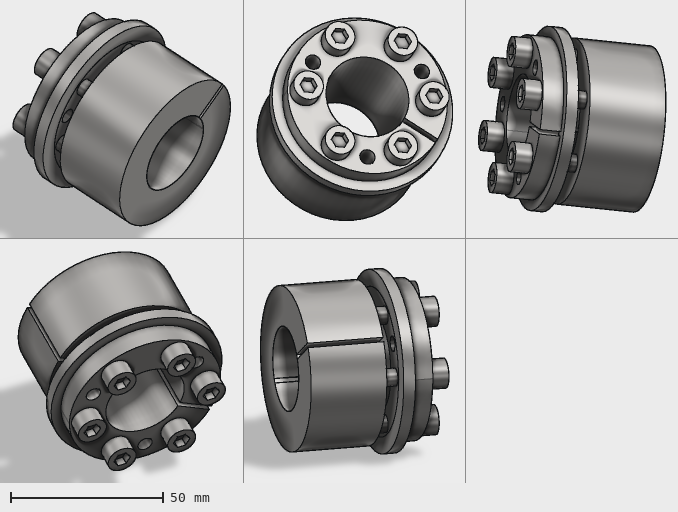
import cadquery as cq
import math


head_length = 5.85
flange_length = 7.15
collar_length = 4.0
ring_gap = 4.9
outer_ring_length = 26.1
collar_start = flange_length
collar_end = collar_start + collar_length
outer_ring_start = collar_end + ring_gap
outer_ring_end = outer_ring_start + outer_ring_length

bore_diameter = 28.0
flange_diameter = 54.0
collar_seat_diameter = 49.8
collar_diameter = 61.0
outer_ring_diameter = 55.0

thin_end_wall = 0.1
taper_end_radius = bore_diameter / 2 + thin_end_wall
taper_mouth_radius = 16.15
taper_slope = (taper_mouth_radius - taper_end_radius) / outer_ring_length
cone_root_radius = taper_mouth_radius + taper_slope * ring_gap

slit_width = 1.5
inner_slit_angle = 210
outer_slit_angle = inner_slit_angle - 180

bolt_circle_diameter = 42.45
head_diameter = 10.0
shank_diameter = 6.0
socket_flats = 5.0
socket_depth = 3.0
screw_length = 30.0
screw_angles = [60 * i for i in range(6)]
jack_hole_diameter = 5.05
jack_hole_angles = [30, 150, 270]


def revolve_about_x(profile):
    """Solid of revolution of (x, radius) points about the X axis."""
    return cq.Workplane("XY").polyline(profile).close().revolve(360, (0, 0, 0), (1, 0, 0))


def rod(diameter, start, end):
    """Cylinder on the X axis from start to end."""
    return cq.Workplane("YZ").workplane(offset=start).circle(diameter / 2).extrude(end - start)


def on_bolt_circle(shape, angle):
    """Move a shape from the X axis to the bolt circle; the angle runs from +Y toward +Z."""
    radius = bolt_circle_diameter / 2
    turn = math.radians(angle)
    return shape.translate((0, radius * math.cos(turn), radius * math.sin(turn)))


def slit_cutter(angle):
    """Radial slab reaching from the axis past every ring on one side."""
    slab = cq.Workplane("XY").box(
        outer_ring_end, collar_diameter, slit_width, centered=(False, False, True)
    )
    return slab.rotate((0, 0, 0), (1, 0, 0), angle)


def make_inner_ring():
    """Split ring with a flange, a seat for the collar and a long tapered sleeve."""
    bore_radius = bore_diameter / 2
    seat_radius = collar_seat_diameter / 2
    ring = revolve_about_x([
        (0, bore_radius),
        (0, flange_diameter / 2),
        (collar_start, flange_diameter / 2),
        (collar_start, seat_radius),
        (collar_end, seat_radius),
        (collar_end, cone_root_radius),
        (outer_ring_end, taper_end_radius),
        (outer_ring_end, bore_radius),
    ])
    for angle in screw_angles:
        ring = ring.cut(on_bolt_circle(rod(shank_diameter, 0, collar_end), angle))
    for angle in jack_hole_angles:
        ring = ring.cut(on_bolt_circle(rod(jack_hole_diameter, 0, collar_end), angle))
    return ring.cut(slit_cutter(inner_slit_angle))


def make_collar():
    """Plain closed ring around the seat behind the flange."""
    collar = rod(collar_diameter, collar_start, collar_end)
    return collar.cut(rod(collar_seat_diameter, collar_start, collar_end))


def make_outer_ring():
    """Split ring with a tapered bore and blind holes that hold the screw ends."""
    ring = revolve_about_x([
        (outer_ring_start, taper_mouth_radius),
        (outer_ring_start, outer_ring_diameter / 2),
        (outer_ring_end, outer_ring_diameter / 2),
        (outer_ring_end, taper_end_radius),
    ])
    for angle in screw_angles:
        ring = ring.cut(on_bolt_circle(rod(shank_diameter, outer_ring_start, screw_length), angle))
    return ring.cut(slit_cutter(outer_slit_angle))


def make_screw(angle):
    """Socket head cap screw seated on the flange face, with two socket flats level."""
    socket_corners = socket_flats / math.cos(math.pi / 6)
    socket = (
        cq.Workplane("YZ")
        .workplane(offset=-head_length)
        .polygon(6, socket_corners)
        .extrude(socket_depth)
    )
    head = rod(head_diameter, -head_length, 0)
    screw = head.union(rod(shank_diameter, 0, screw_length)).cut(socket)
    return on_bolt_circle(screw, angle)


inner_ring = make_inner_ring()
collar = make_collar()
outer_ring = make_outer_ring()
screws = [make_screw(angle) for angle in screw_angles]

result = cq.Compound.makeCompound([
    inner_ring.val(),
    collar.val(),
    outer_ring.val(),
    *[screw.val() for screw in screws],
])